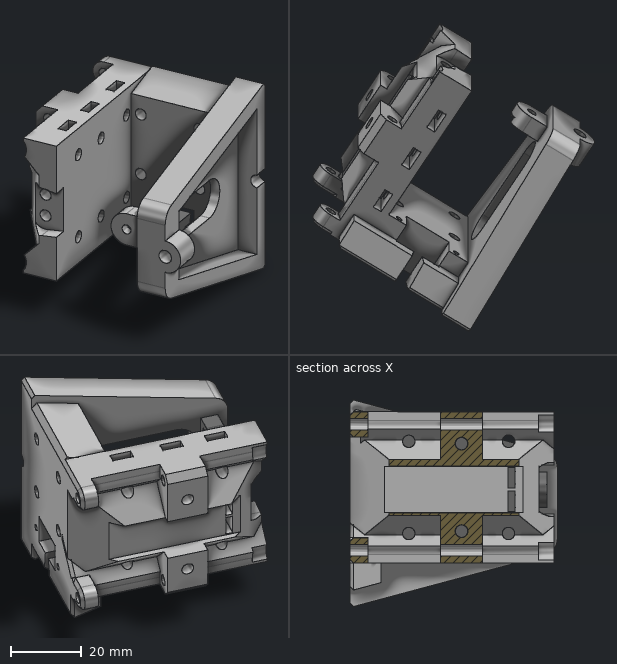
import cadquery as cq
import math


back_y = 58.82
arm_height = 58.68
rear_chamfer = 1.0
slope_angle = math.radians(15)
slope = math.tan(slope_angle)
outside = 100.0

block_right = 17.78
block_bottom = 12.4
block_top = 55.27
block_front = 0.97
block_mid_z = (block_bottom + block_top) / 2
rail_face_x = 6.97
rail_lip_x = 6.4
rail_groove_radius = 5.0
rail_groove_top = 18.95
rail_lip = 16.55
valley_x = 9.5
valley = rail_lip - (valley_x - rail_lip_x)

slot_floor_x = 4.98
slot_bottom = 26.7
slot_top = 39.8
ridge_crest_x = valley_x - (block_mid_z + valley - slot_top)
ridge_low_crest_x = valley_x - (slot_bottom - block_mid_z + valley)
ridge_end_grade = 0.81
ridge_mid_y = 29.4
ridge_half_length = 16.0
rear_relief_y = 55.8

tab_front = 21.2
tab_back = 33.2
tab_chamfer_x = 2.0
tab_chamfer_z = 2.1

rod_x = 4.0
rod_offset_z = 17.85
rod_diameter = 3.1
rod_seat_diameter = 8.0
rod_seat_end = 5.45
lug_radius = block_top - block_mid_z - rod_offset_z
lug_front = 53.7
lug_root_x = 8.8

screw_diameter = 3.5
nut_width = 6.1
plate_nut_x = 12.84
plate_nut_thickness = 2.6
plate_screw_ys = (13.9, 42.15)
plate_screw_offset_z = 13.05
tab_screw_y = 27.2
tab_screw_offset_z = 12.4

seat_floor_y = 5.25
seat_screw_x = 11.9
seat_screw_zs = (29.95, 36.6)
seat_corner_radius = 4.35
seat_taper = 0.75
side_nut_width = 5.85
side_nut_front = 12.04
side_nut_back = 14.07

beam_front = 44.8
beam_front_top = 52.6
beam_screw_xs = (20.9, 39.85)
beam_screw_zs = (27.75, 46.7)
small_hole_diameter = 1.8
small_hole_xs = (21.25, 40.4)
small_hole_z = 14.55
foot_left = 9.4
foot_front = 50.0
foot_bottom = 4.76
window_left = 23.7
window_right = 38.0
window_bottom = 11.4
window_top = 20.3
gap_top = (29.5, 32.3)
gap_bottom = (28.7, 33.1)

arm_left = 44.4
arm_right = 53.51
arm_mid_z = arm_height / 2
arm_corner_radius = 5.0
arm_web = 3.0
arm_wall = 5.0
arm_front_wall = 8.15
arm_slot_radius = 6.0
arm_slot_front = 9.3
arm_slot_back = 43.1
arm_slot_z = 29.7

hinge_radius = 5.0
pivot_diameter = 4.0
inner_lug_x = 39.3
inner_lug_z = 33.2
inner_lug_front = 3.05
inner_lug_hole = 2.8
inner_nut_front = 6.2


def box(x0, x1, y0, y1, z0, z1):
    """Box between two opposite corners."""
    return cq.Workplane("XY").box(x1 - x0, y1 - y0, z1 - z0, centered=False).translate((x0, y0, z0))


def along_y(outline, y0, y1):
    """Prism between y0 and y1 with an outline of (x, z) points."""
    return cq.Workplane("XZ", origin=(0, y1, 0)).polyline(outline).close().extrude(y1 - y0)


def along_x(outline, x0, x1):
    """Prism between x0 and x1 with an outline of (y, z) points."""
    return cq.Workplane("YZ", origin=(x0, 0, 0)).polyline(outline).close().extrude(x1 - x0)


def cylinder_y(x, z, diameter, y0, y1):
    """Cylinder parallel to Y."""
    return cq.Workplane("XZ", origin=(x, y1, z)).circle(diameter / 2).extrude(y1 - y0)


def cylinder_x(y, z, diameter, x0, x1):
    """Cylinder parallel to X."""
    return cq.Workplane("YZ", origin=(x0, y, z)).circle(diameter / 2).extrude(x1 - x0)


def rail_block():
    """Block with a grooved rail and a valley along each edge and a ridge between them."""
    groove_x = rail_face_x - rail_groove_radius
    half_angle = math.asin((rail_groove_top - rail_lip) / rail_groove_radius) / 2
    arc_x = groove_x + rail_groove_radius * math.cos(half_angle)
    arc_offset = rail_groove_top - rail_groove_radius * math.sin(half_angle)
    profile = (
        cq.Workplane("XZ", origin=(0, back_y, 0))
        .moveTo(block_right, block_top)
        .lineTo(rail_face_x, block_top)
        .lineTo(rail_face_x, block_mid_z + rail_groove_top)
        .threePointArc((arc_x, block_mid_z + arc_offset), (rail_lip_x, block_mid_z + rail_lip))
        .lineTo(valley_x, block_mid_z + valley)
        .lineTo(ridge_crest_x, slot_top)
        .lineTo(ridge_low_crest_x, slot_bottom)
        .lineTo(valley_x, block_mid_z - valley)
        .lineTo(rail_lip_x, block_mid_z - rail_lip)
        .threePointArc((arc_x, block_mid_z - arc_offset), (rail_face_x, block_mid_z - rail_groove_top))
        .lineTo(rail_face_x, block_bottom)
        .lineTo(block_right, block_bottom)
        .close()
    )
    return profile.extrude(back_y - block_front)


def ridge_end(side):
    """Cutter that slopes one end of the ridge (side -1 front, +1 back) between the valley walls."""
    reach = back_y
    crest_y = ridge_mid_y + side * ridge_half_length
    start = (ridge_crest_x - ridge_end_grade * reach, crest_y - side * reach)
    end = (ridge_crest_x + ridge_end_grade * reach, crest_y + side * reach)
    wedge = cq.Workplane("XY").polyline([start, end, (start[0], end[1])]).close().extrude(arm_height)
    apex_x = valley_x + valley
    between_walls = [(apex_x, block_mid_z), (0, block_mid_z + apex_x), (0, block_mid_z - apex_x)]
    section = along_y(between_walls, -outside, outside)
    if side > 0:
        lug_underside = block_mid_z + rod_offset_z - lug_radius
        relief = [
            (0, lug_underside),
            (block_right, lug_underside),
            (block_right, block_mid_z),
            (0, block_mid_z),
        ]
        section = section.union(along_y(relief, rear_relief_y, outside))
    return wedge.intersect(section)


def valley_rear_chamfer():
    """Cutter along the rear edge of the lower valley wall, which rises at 45 degrees in XZ."""
    start = (lug_root_x, back_y - rear_chamfer, block_mid_z - valley - valley_x + lug_root_x)
    plane = cq.Plane(origin=start, xDir=(0, 1, 0), normal=(1, 0, 1))
    edge_length = (block_right - lug_root_x) * math.sqrt(2)
    profile = cq.Workplane(plane).polyline([(0, 0), (rear_chamfer, 0), (rear_chamfer, -rear_chamfer)])
    return profile.close().extrude(edge_length)


def clamp_tab():
    """Full-height tab across the valleys and the ridge, chamfered at its left corners."""
    outline = [
        (0, block_bottom + tab_chamfer_z),
        (0, block_top - tab_chamfer_z),
        (tab_chamfer_x, block_top),
        (valley_x, block_top),
        (valley_x, block_bottom),
        (tab_chamfer_x, block_bottom),
    ]
    return along_y(outline, tab_front, tab_back)


def rod_lug(z):
    """Rounded lug around a rod hole at the back of the block, chamfered on its rear edge."""
    disc = cylinder_y(rod_x, z, 2 * lug_radius, lug_front, back_y)
    root = box(rod_x, lug_root_x, lug_front, back_y, z - lug_radius, z + lug_radius)
    return disc.union(root).faces(">Y").edges("not >X").chamfer(rear_chamfer)


def nut_slot(y, side):
    """Slot for a plate screw's nut, open at the top (side +1) or at the bottom (side -1)."""
    inner = block_mid_z + side * (plate_screw_offset_z - nut_width / 2)
    outer = block_top if side > 0 else block_bottom
    low, high = sorted((inner, outer))
    half = nut_width / 2
    return box(plate_nut_x, plate_nut_x + plate_nut_thickness, y - half, y + half, low, high)


def switch_seat():
    """Recess in the block's front face with two screw holes and their side-loaded nut slots."""
    low_z, high_z = seat_screw_zs
    low_edge = low_z - seat_corner_radius
    high_edge = high_z + seat_corner_radius
    outline = [
        (seat_screw_x, low_edge),
        (block_right, low_edge + seat_taper),
        (block_right, high_edge - seat_taper),
        (seat_screw_x, high_edge),
    ]
    cutter = along_y(outline, 0, seat_floor_y)
    left = seat_screw_x - seat_corner_radius
    cutter = cutter.union(box(left, seat_screw_x, 0, seat_floor_y, low_z, high_z))
    for z in seat_screw_zs:
        cutter = cutter.union(cylinder_y(seat_screw_x, z, 2 * seat_corner_radius, 0, seat_floor_y))
        cutter = cutter.union(cylinder_y(seat_screw_x, z, screw_diameter, 0, side_nut_back))
        half = side_nut_width / 2
        nut_end = seat_screw_x + half
        cutter = cutter.union(box(0, nut_end, side_nut_front, side_nut_back, z - half, z + half))
    return cutter


def carriage():
    """Carriage block with its tab, crest slot, rod lugs, screw holes and nut slots."""
    body = rail_block().cut(ridge_end(-1)).cut(ridge_end(1)).cut(valley_rear_chamfer()).union(clamp_tab())
    body = body.cut(box(0, slot_floor_x, 0, back_y, slot_bottom, slot_top))
    for side in (-1, 1):
        rod_z = block_mid_z + side * rod_offset_z
        body = body.union(rod_lug(rod_z))
        body = body.cut(cylinder_y(rod_x, rod_z, rod_diameter, 0, back_y))
        body = body.cut(cylinder_y(rod_x, rod_z, rod_seat_diameter, 0, rod_seat_end))
        plate_z = block_mid_z + side * plate_screw_offset_z
        for y in plate_screw_ys:
            body = body.cut(cylinder_x(y, plate_z, screw_diameter, 0, block_right))
        tab_z = block_mid_z + side * tab_screw_offset_z
        body = body.cut(cylinder_x(tab_screw_y, tab_z, screw_diameter, 0, block_right))
        for y in (*plate_screw_ys, tab_screw_y):
            body = body.cut(nut_slot(y, side))
    return body.cut(switch_seat())


def beam():
    """Cross beam with a sloping top and a foot below it."""
    chamfer_foot_z = block_top - rear_chamfer
    peak_y = (back_y + chamfer_foot_z - beam_front_top + slope * beam_front) / (1 + slope)
    peak_z = back_y + chamfer_foot_z - peak_y
    outline = [
        (beam_front, block_bottom),
        (beam_front, beam_front_top),
        (peak_y, peak_z),
        (back_y, chamfer_foot_z),
        (back_y, block_bottom),
    ]
    foot_back = back_y - rear_chamfer
    foot_outline = [
        (foot_front, block_bottom),
        (foot_front, foot_bottom + slope * (foot_back - foot_front)),
        (foot_back, foot_bottom),
        (back_y, foot_bottom + rear_chamfer),
        (back_y, block_bottom),
    ]
    foot = along_x(foot_outline, foot_left, arm_left).faces(">Y").edges("<X").chamfer(rear_chamfer)
    return along_x(outline, block_right, arm_left).union(foot)


def beam_openings():
    """Stepped window through the beam and foot, with the screw and pin holes."""
    cutter = box(window_left, window_right, 0, back_y, window_bottom, window_top)
    gap = [
        (gap_top[0], window_bottom),
        (gap_top[1], window_bottom),
        (gap_bottom[1], foot_bottom),
        (gap_bottom[0], foot_bottom),
    ]
    cutter = cutter.union(along_y(gap, foot_front, back_y))
    for x in beam_screw_xs:
        for z in beam_screw_zs:
            cutter = cutter.union(cylinder_y(x, z, screw_diameter, beam_front, back_y))
    for x in small_hole_xs:
        cutter = cutter.union(cylinder_y(x, small_hole_z, small_hole_diameter, beam_front, back_y))
    return cutter


def wedge_outline(y0, y1, half_height_at_back):
    """Symmetric outline tapering toward the front, with half_height_at_back reached at y1."""
    front_half = half_height_at_back - slope * (y1 - y0)
    return [
        (y0, arm_mid_z - front_half),
        (y0, arm_mid_z + front_half),
        (y1, arm_mid_z + half_height_at_back),
        (y1, arm_mid_z - half_height_at_back),
    ]


def arm():
    """Wedge-shaped arm, hollowed from its right side down to a slotted web."""
    peak_y = back_y - rear_chamfer
    main = along_x(wedge_outline(0, peak_y, arm_mid_z), arm_left, arm_right)
    main = main.edges("|X and <Y").fillet(arm_corner_radius)
    edge = [
        (peak_y, 0),
        (peak_y, arm_height),
        (back_y, arm_height - rear_chamfer),
        (back_y, rear_chamfer),
    ]
    main = main.union(along_x(edge, arm_left, arm_right))

    pocket_back = back_y - arm_wall
    pocket_half = arm_mid_z - slope * (peak_y - pocket_back) - arm_wall / math.cos(slope_angle)
    pocket = along_x(wedge_outline(arm_front_wall, pocket_back, pocket_half), arm_left + arm_web, arm_right)
    slot_length = arm_slot_back - arm_slot_front
    slot = (
        cq.Workplane("YZ", origin=(arm_left, (arm_slot_front + arm_slot_back) / 2, arm_slot_z))
        .slot2D(slot_length, 2 * arm_slot_radius)
        .extrude(arm_web)
    )
    main = main.cut(pocket).cut(slot)

    pivot_lug = cylinder_y(arm_right, arm_mid_z, 2 * hinge_radius, 0, arm_front_wall)
    return main.union(pivot_lug).cut(cylinder_y(arm_right, arm_mid_z, pivot_diameter, 0, back_y))


def inner_lug():
    """Lug on the arm's inner side with a screw hole and a nut slot open at its rounded end."""
    low = inner_lug_z - hinge_radius
    high = inner_lug_z + hinge_radius
    lug = cylinder_y(inner_lug_x, inner_lug_z, 2 * hinge_radius, inner_lug_front, arm_front_wall)
    lug = lug.union(box(inner_lug_x, arm_left, inner_lug_front, arm_front_wall, low, high))
    lug = lug.cut(cylinder_y(inner_lug_x, inner_lug_z, inner_lug_hole, inner_lug_front, arm_front_wall))
    half = side_nut_width / 2
    return lug.cut(
        box(0, inner_lug_x + half, inner_nut_front, arm_front_wall, inner_lug_z - half, inner_lug_z + half)
    )


def block_rear_chamfer():
    """Cutter along the block's top rear edge."""
    outline = [(back_y - rear_chamfer, block_top), (back_y, block_top), (back_y, block_top - rear_chamfer)]
    return along_x(outline, 0, block_right)


block_and_beam = carriage().cut(block_rear_chamfer()).union(beam()).cut(beam_openings())
result = block_and_beam.union(arm()).union(inner_lug())